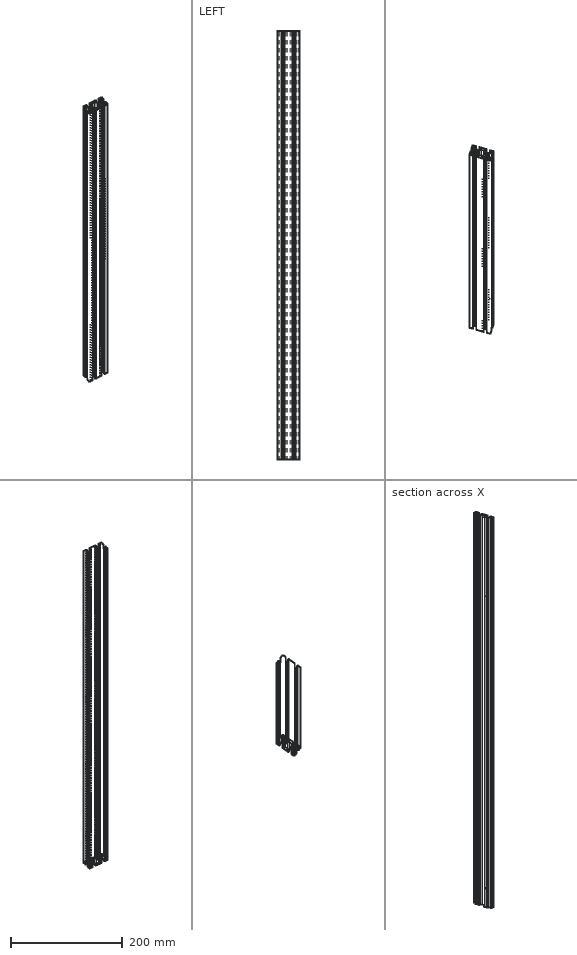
import cadquery as cq

length = 770.0
module = 20.0
half_module = module / 2
corner_radius = 1.1

slot_opening = 6.0
lip_thickness = 2.1
pocket_width = 12.0
pocket_side_depth = 0.4
slot_depth = 5.9
floor_width = 5.6

groove_width = 2.0
groove_depth = 0.5

bore_diameter = 4.4
cavity_width = 11.5
cavity_depth = 11.0
cavity_chamfer = 2.8


def blank():
    """Solid bar with its four long outer edges rounded."""
    bar = cq.Workplane("XY").rect(module, 2 * module).extrude(length)
    return bar.edges("|Z").fillet(corner_radius)


def slot(module_center, turn):
    """T-slot cutter for the module side that faces +Y before turning about the module axis."""
    face = half_module
    lip = face - lip_thickness
    side_end = lip - pocket_side_depth
    floor = face - slot_depth
    right_edge = [
        (slot_opening / 2, face),
        (slot_opening / 2, lip),
        (pocket_width / 2, lip),
        (pocket_width / 2, side_end),
        (floor_width / 2, floor),
        (groove_width / 2, floor),
    ]
    groove_bottom = (0, floor - groove_depth)
    left_edge = [(-x, y) for x, y in reversed(right_edge)]
    outline = right_edge + [groove_bottom] + left_edge
    cutter = cq.Workplane("XY").polyline(outline).close().extrude(length)
    return cutter.rotate((0, 0, 0), (0, 0, 1), turn).translate((0, module_center, 0))


def bore(module_center):
    """Round hole along the axis of one module."""
    return cq.Workplane("XY").center(0, module_center).circle(bore_diameter / 2).extrude(length)


def cavity():
    """Central hollow with bevelled corners between the two modules."""
    block = cq.Workplane("XY").rect(cavity_width, cavity_depth).extrude(length)
    return block.edges("|Z").chamfer(cavity_chamfer)


result = blank().cut(cavity())

for module_center, end_turn in ((half_module, 0), (-half_module, 180)):
    for turn in (end_turn, 90, 270):
        result = result.cut(slot(module_center, turn))
    result = result.cut(bore(module_center))